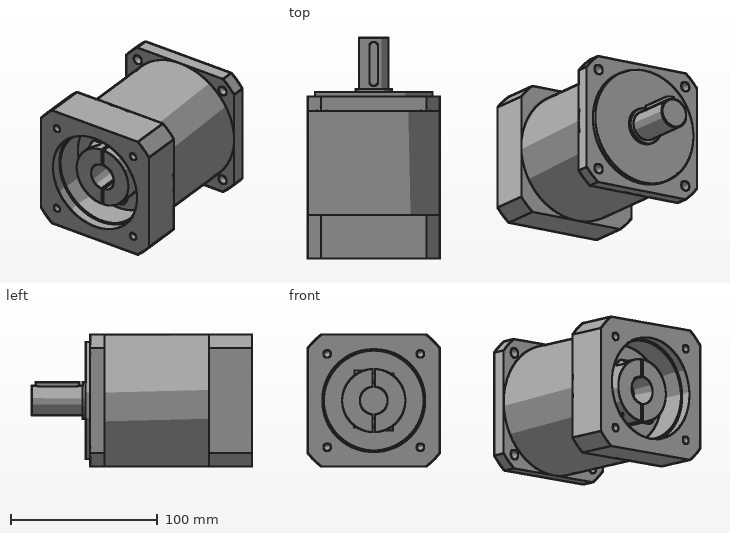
import cadquery as cq
import math

X_AXIS = cq.Vector(1, 0, 0)
Y_AXIS = cq.Vector(0, 1, 0)

side = 90.0
corner_radius = 57.5
block_end = 29.5
barrel_end = 100.5
flange_end = 110.5
pilot_end = 113.5
collar_end = 115.5
shaft_end = 150.5

pilot_radius = 40.0
collar_radius = 12.5
shaft_radius = 10.1
shaft_chamfer = 0.5

key_width = 6.0
key_length = 30.0
key_end_gap = 3.0
key_top = 12.5

socket_radius = 35.0
socket_depth = 7.5
cavity_radius = 34.0
cavity_depth = 28.0

motor_hole_offset = 31.8
motor_hole_radius = 2.5
motor_hole_depth = 15.0
drill_point_angle = 118.0
flange_hole_offset = 35.4
flange_hole_radius = 3.3

hub_front = 8.9
hub_back = cavity_depth
hub_radius = 21.5
bore_radius = 9.5
slot_width = 1.5
screw_offset = 15.4
screw_y = 16.0
screw_radius = 3.0
head_radius = 5.1
head_inner = 6.0
head_outer = 13.0
screw_tip = 13.4


def cylinder_y(radius, start, end, x=0.0, z=0.0):
    """Cylinder parallel to Y, from y = start to y = end."""
    base = cq.Vector(x, start, z)
    return cq.Workplane(cq.Solid.makeCylinder(radius, end - start, base, Y_AXIS))


def square_plate(start, end):
    """Square plate whose corners are rounded off by a circle about the Y axis."""
    square = cq.Workplane().box(side, end - start, side).translate((0, (start + end) / 2, 0))
    return square.intersect(cylinder_y(corner_radius, start, end))


def corner_positions(offset):
    """X and Z of four holes on a square pattern about the Y axis."""
    return [(sx * offset, sz * offset) for sx in (-1, 1) for sz in (-1, 1)]


def make_key():
    """Round-ended key rising from the shaft axis through the top of the shaft."""
    center_y = shaft_end - key_end_gap - key_length / 2
    return cq.Workplane().center(0, center_y).slot2D(key_length, key_width, angle=90).extrude(key_top)


def drilled_hole(x, z):
    """Blind hole from the motor face, with a conical drill point."""
    point_length = motor_hole_radius / math.tan(math.radians(drill_point_angle / 2))
    base = cq.Vector(x, motor_hole_depth, z)
    point = cq.Solid.makeCone(motor_hole_radius, 0, point_length, base, Y_AXIS)
    return cylinder_y(motor_hole_radius, 0, motor_hole_depth, x, z).union(cq.Workplane(point))


def make_housing():
    """Gearbox housing in one piece with its output shaft and key."""
    shaft = cylinder_y(shaft_radius, pilot_end, shaft_end).faces(">Y").chamfer(shaft_chamfer)
    housing = (
        square_plate(0, block_end)
        .union(cylinder_y(side / 2, block_end, barrel_end))
        .union(square_plate(barrel_end, flange_end))
        .union(cylinder_y(pilot_radius, flange_end, pilot_end))
        .union(cylinder_y(collar_radius, pilot_end, collar_end))
        .union(shaft)
        .union(make_key())
        .cut(cylinder_y(socket_radius, 0, socket_depth))
        .cut(cylinder_y(cavity_radius, 0, cavity_depth))
    )
    for x, z in corner_positions(motor_hole_offset):
        housing = housing.cut(drilled_hole(x, z))
    for x, z in corner_positions(flange_hole_offset):
        housing = housing.cut(cylinder_y(flange_hole_radius, barrel_end, flange_end, x, z))
    return housing


def make_clamp_screw():
    """Upper cross screw, parallel to X, with its head on the -X side."""
    def rod(radius, start, end):
        base = cq.Vector(start, screw_y, screw_offset)
        return cq.Workplane(cq.Solid.makeCylinder(radius, end - start, base, X_AXIS))

    shank = rod(screw_radius, -head_inner, screw_tip)
    head = rod(head_radius, -head_outer, -head_inner)
    return shank.union(head)


def make_hub():
    """Split clamp hub carrying its two opposed screws."""
    length = hub_back - hub_front
    middle_y = (hub_front + hub_back) / 2
    bore = cylinder_y(bore_radius, hub_front, hub_back)
    slot = cq.Workplane().box(slot_width, length, 2 * hub_radius).translate((0, middle_y, 0))
    hub = cylinder_y(hub_radius, hub_front, hub_back).cut(bore).cut(slot)
    for turn in (0, 180):
        hub = hub.union(make_clamp_screw().rotate((0, 0, 0), (0, 1, 0), turn))
    return hub


housing = make_housing()
hub = make_hub()
result = cq.Compound.makeCompound([housing.solids().val(), hub.solids().val()])